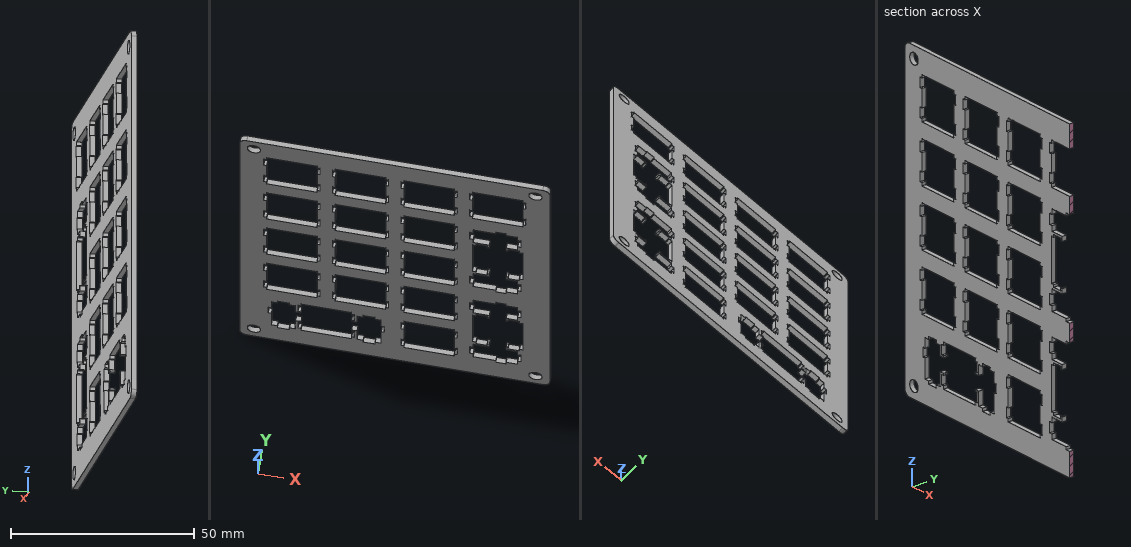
import cadquery as cq

KEY_PITCH = 19.05
COLUMNS = 4
ROWS = 5

MARGIN = 5.0
PLATE_WIDTH = COLUMNS * KEY_PITCH + 2 * MARGIN
PLATE_HEIGHT = ROWS * KEY_PITCH + 2 * MARGIN
PLATE_THICKNESS = 1.59
CORNER_RADIUS = 2.0

MOUNT_DIAMETER = 3.66
MOUNT_INSET = 4.0

SWITCH_SIZE = 14.0
NOTCH_SPAN = 15.6
NOTCH_INNER = 2.9
NOTCH_OUTER = 6.0

STABILIZER_OFFSET = 11.9
WINDOW_WIDTH = 6.65
WINDOW_TOP = 5.53
WINDOW_BOTTOM = -6.77
CLIP_SLOT_WIDTH = 3.3
CLIP_SLOT_TOP = 6.45
CLIP_SLOT_BOTTOM = -7.75
SIDE_RELIEF_REACH = 16.1
SIDE_RELIEF_TOP = 2.3
SIDE_RELIEF_BOTTOM = -0.5
WIRE_CHANNEL_HEIGHT = 4.6

SINGLE_KEYS = [(column, row) for row in range(ROWS - 1) for column in range(COLUMNS - 1)]
SINGLE_KEYS += [(3, 0), (2, 4)]
WIDE_KEYS = [(0.5, 4)]
TALL_KEYS = [(3, 1.5), (3, 3.5)]
TALL_KEY_TURN = -90

CUT_DEPTH = 2 * PLATE_THICKNESS


def block(left, right, bottom, top):
    """Cutter with a rectangular outline in XZ, deeper than the plate is thick."""
    return (
        cq.Workplane("XZ")
        .center((left + right) / 2, (bottom + top) / 2)
        .rect(right - left, top - bottom)
        .extrude(CUT_DEPTH / 2, both=True)
    )


def switch_cutter():
    """Square switch opening with its four clip notches."""
    half_size = SWITCH_SIZE / 2
    half_span = NOTCH_SPAN / 2
    cutter = block(-half_size, half_size, -half_size, half_size)
    cutter = cutter.union(block(-half_span, half_span, NOTCH_INNER, NOTCH_OUTER))
    return cutter.union(block(-half_span, half_span, -NOTCH_OUTER, -NOTCH_INNER))


def stabilizer_cutter():
    """Right-hand stabilizer window with its clip slot and outer side relief."""
    half_window = WINDOW_WIDTH / 2
    half_slot = CLIP_SLOT_WIDTH / 2
    window = block(
        STABILIZER_OFFSET - half_window, STABILIZER_OFFSET + half_window, WINDOW_BOTTOM, WINDOW_TOP
    )
    clip_slot = block(
        STABILIZER_OFFSET - half_slot, STABILIZER_OFFSET + half_slot, CLIP_SLOT_BOTTOM, CLIP_SLOT_TOP
    )
    side_relief = block(STABILIZER_OFFSET, SIDE_RELIEF_REACH, SIDE_RELIEF_BOTTOM, SIDE_RELIEF_TOP)
    return window.union(clip_slot).union(side_relief)


def double_key_cutter():
    """Switch opening joined to a stabilizer window on each side by a wire channel."""
    half_channel = WIRE_CHANNEL_HEIGHT / 2
    channel = block(-STABILIZER_OFFSET, STABILIZER_OFFSET, -half_channel, half_channel)
    stabilizer = stabilizer_cutter()
    return switch_cutter().union(channel).union(stabilizer).union(stabilizer.mirror("YZ"))


def at_key(cutter, column, row):
    """Move a cutter from the origin to its place in the key grid."""
    x = (column - (COLUMNS - 1) / 2) * KEY_PITCH
    z = ((ROWS - 1) / 2 - row) * KEY_PITCH
    return cutter.translate((x, 0, z))


def blank_plate():
    """Plate centred on the origin, with rounded corners and mounting holes."""
    return (
        cq.Workplane("XZ")
        .rect(PLATE_WIDTH, PLATE_HEIGHT)
        .extrude(PLATE_THICKNESS / 2, both=True)
        .edges("|Y")
        .fillet(CORNER_RADIUS)
        .faces("<Y")
        .workplane(centerOption="CenterOfBoundBox")
        .rect(PLATE_WIDTH - 2 * MOUNT_INSET, PLATE_HEIGHT - 2 * MOUNT_INSET, forConstruction=True)
        .vertices()
        .hole(MOUNT_DIAMETER)
    )


single_key = switch_cutter()
wide_key = double_key_cutter()
tall_key = wide_key.rotate((0, 0, 0), (0, -1, 0), TALL_KEY_TURN)

result = blank_plate()
for cutter, places in ((single_key, SINGLE_KEYS), (wide_key, WIDE_KEYS), (tall_key, TALL_KEYS)):
    for column, row in places:
        result = result.cut(at_key(cutter, column, row))